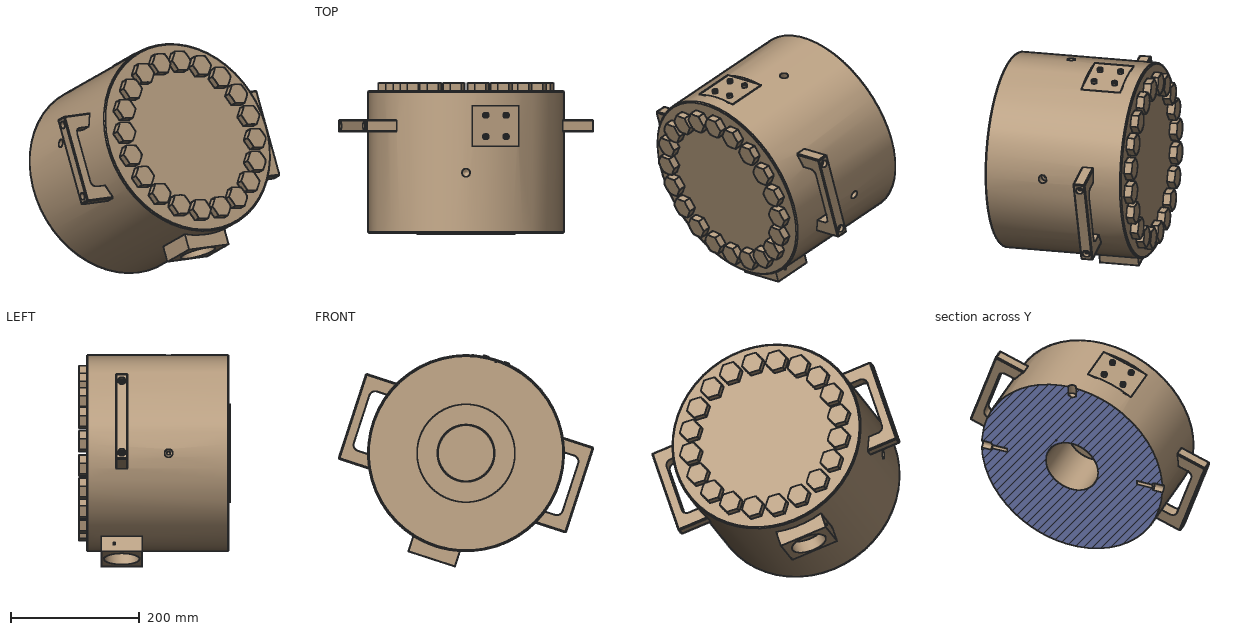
import cadquery as cq
import math

BODY_DIA = 305.0
BODY_LENGTH = 221.0
BODY_CHAMFER = 2.0
BOSS_DIA = 152.0
BOSS_HEIGHT = 2.0
BORE_DIA = 87.0
BORE_DEPTH = 177.8
BORE_CHAMFER = 1.0

BOLT_COUNT = 20
BOLT_CIRCLE_DIA = 241.8
BOLT_FLATS = 30.0
BOLT_HEIGHT = 12.2
BOLT_CHAMFER_ANGLE = 15.0
BOLT_TURN = 12.0

PORT_Y = 93.5
PORT_DIA = 12.5
PORT_DEPTH = 15.8
PORT_TIP_ANGLE = 118.0
PASSAGE_DIA = 5.5
PASSAGE_DEPTH = 27.5

TILT = 18.0
MOUNT_Y = 166.5
ROOT_DEPTH = 19.8

HANDLE_REACH = 185.5
HANDLE_LENGTH = 139.0
HANDLE_WIDTH = 19.0
HANDLE_GRIP = 15.5
HANDLE_WINDOW = 96.5
HANDLE_WINDOW_RADIUS = 9.5
HANDLE_CHAMFER = 1.5
HANDLE_SCREW_SPACING = 117.0
HANDLE_COUNTERBORE_DIA = 11.0
HANDLE_HEAD_DEPTH = 6.0

BOX_LENGTH = 76.2
BOX_WIDTH = 63.2
BOX_REACH = 172.5
BOX_BORE_DIA = 55.5
BOX_BORE_DEPTH = 19.8
BOX_PIN_DIA = 3.0
BOX_PIN_DEPTH = 4.7
BOX_PIN_OFFSET = 12.0
BOX_PIN_REACH = 159.5

PAD_REACH = 148.5
PAD_THICKNESS = 12.0
PAD_SCREW_SPACING = 33.0

SCREW_HEAD_DIA = 8.3
SCREW_HEAD_HEIGHT = 4.7
SCREW_HEAD_CHAMFER = 0.8
SCREW_SOCKET_FLATS = 4.0
SCREW_SOCKET_DEPTH = 2.8

body_radius = BODY_DIA / 2
handle_base = body_radius * math.cos(math.asin(HANDLE_LENGTH / BODY_DIA)) - ROOT_DEPTH
box_base = body_radius - ROOT_DEPTH


def cylinder(diameter, length, start, direction):
    """Cylinder that runs from start along direction."""
    return cq.Workplane(cq.Solid.makeCylinder(diameter / 2, length, cq.Vector(*start), cq.Vector(*direction)))


def make_body():
    """Chamfered cylinder with a low front boss and a blind bore."""
    body = cylinder(BODY_DIA, BODY_LENGTH, (0, 0, 0), (0, 1, 0)).edges().chamfer(BODY_CHAMFER)
    body = body.union(cylinder(BOSS_DIA, BOSS_HEIGHT, (0, -BOSS_HEIGHT, 0), (0, 1, 0)))
    bore = cylinder(BORE_DIA, BORE_DEPTH + BOSS_HEIGHT, (0, -BOSS_HEIGHT, 0), (0, 1, 0))
    mouth = cq.Solid.makeCone(
        BORE_DIA / 2 + BORE_CHAMFER, BORE_DIA / 2, BORE_CHAMFER,
        cq.Vector(0, -BOSS_HEIGHT, 0), cq.Vector(0, 1, 0),
    )
    return body.cut(bore).cut(cq.Workplane(mouth))


def hexagon_corners(flats):
    """Corner diameter of a hexagon from its size across flats."""
    return flats / math.cos(math.radians(30))


def hex_head():
    """Bolt head on the XY plane, with its top corners turned off by a cone."""
    head = cq.Workplane("XY").polygon(6, hexagon_corners(BOLT_FLATS)).extrude(BOLT_HEIGHT)
    slope = math.tan(math.radians(BOLT_CHAMFER_ANGLE))
    top_radius = BOLT_FLATS / 2
    base_radius = top_radius + BOLT_HEIGHT / slope
    return head.intersect(cq.Workplane(cq.Solid.makeCone(base_radius, top_radius, BOLT_HEIGHT)))


def add_bolts(body):
    """Ring of bolt heads, all turned the same way."""
    head = hex_head().rotate((0, 0, 0), (0, 0, 1), BOLT_TURN).rotate((0, 0, 0), (1, 0, 0), -90)
    pitch = 360 / BOLT_COUNT
    for i in range(BOLT_COUNT):
        angle = math.radians((i + 0.5) * pitch)
        x = BOLT_CIRCLE_DIA / 2 * math.sin(angle)
        z = BOLT_CIRCLE_DIA / 2 * math.cos(angle)
        body = body.union(head.translate((x, BODY_LENGTH, z)))
    return body


def cut_ports(body):
    """Drilled ports at the sides and the top; the side ones narrow into a passage."""
    tip_length = PORT_DIA / 2 / math.tan(math.radians(PORT_TIP_ANGLE / 2))
    for direction in ((1, 0, 0), (-1, 0, 0), (0, 0, 1)):
        outward = cq.Vector(*direction)
        floor = outward * (body_radius - PORT_DEPTH) + cq.Vector(0, PORT_Y, 0)
        tip = cq.Solid.makeCone(PORT_DIA / 2, 0, tip_length, floor, outward * -1)
        body = body.cut(cylinder(PORT_DIA, PORT_DEPTH, floor.toTuple(), direction)).cut(cq.Workplane(tip))
        if outward.z == 0:
            passage = cq.Solid.makeCylinder(PASSAGE_DIA / 2, PASSAGE_DEPTH, floor, outward * -1)
            body = body.cut(cq.Workplane(passage))
    return body


def socket_screw():
    """Socket screw head standing on the XY plane."""
    head = cq.Workplane("XY").circle(SCREW_HEAD_DIA / 2).extrude(SCREW_HEAD_HEIGHT)
    head = head.faces(">Z").chamfer(SCREW_HEAD_CHAMFER)
    socket = head.faces(">Z").workplane().polygon(6, hexagon_corners(SCREW_SOCKET_FLATS))
    return socket.cutBlind(-SCREW_SOCKET_DEPTH)


def make_handle():
    """Handle on the +X side, before the tilt."""
    depth = HANDLE_REACH - handle_base
    handle = cq.Workplane("XY").box(depth, HANDLE_WIDTH, HANDLE_LENGTH)
    handle = handle.translate(((HANDLE_REACH + handle_base) / 2, 0, 0))
    handle = handle.faces(">X").edges().chamfer(HANDLE_CHAMFER)
    handle = handle.edges("|X").chamfer(HANDLE_CHAMFER)
    window = cq.Workplane("XY").box(depth, HANDLE_WIDTH, HANDLE_WINDOW)
    window = window.edges("|Y").fillet(HANDLE_WINDOW_RADIUS)
    return handle.cut(window.translate((HANDLE_REACH - HANDLE_GRIP - depth / 2, 0, 0)))


def add_handles(body):
    """Two opposite handles, each with two sunk screws."""
    core = cylinder(BODY_DIA - 2 * ROOT_DEPTH, BODY_LENGTH, (0, 0, 0), (0, 1, 0))
    handle = make_handle().translate((0, MOUNT_Y, 0)).cut(core)
    screw = socket_screw().rotate((0, 0, 0), (0, 1, 0), 90)
    counterbore_depth = HANDLE_HEAD_DEPTH + SCREW_HEAD_HEIGHT
    head_base = HANDLE_REACH - counterbore_depth
    for z in (-HANDLE_SCREW_SPACING / 2, HANDLE_SCREW_SPACING / 2):
        counterbore = cylinder(HANDLE_COUNTERBORE_DIA, counterbore_depth, (head_base, MOUNT_Y, z), (1, 0, 0))
        handle = handle.cut(counterbore)
        handle = handle.union(screw.translate((head_base, MOUNT_Y, z)))
    for turn in (TILT, TILT + 180):
        body = body.union(handle.rotate((0, 0, 0), (0, 1, 0), turn))
    return body


def tilted(shape):
    """Shape moved to the mounting place and turned about the body axis."""
    return shape.translate((0, MOUNT_Y, 0)).rotate((0, 0, 0), (0, 1, 0), TILT)


def add_box(body):
    """Connector box under the body."""
    height = BOX_REACH - box_base
    box = cq.Workplane("XY").box(BOX_LENGTH, BOX_WIDTH, height).translate((0, 0, -(BOX_REACH + box_base) / 2))
    bore = cylinder(BOX_BORE_DIA, BOX_BORE_DEPTH, (0, 0, -BOX_REACH), (0, 0, 1))
    pin = cylinder(BOX_PIN_DIA, BOX_PIN_DEPTH, (-BOX_LENGTH / 2, BOX_PIN_OFFSET, -BOX_PIN_REACH), (1, 0, 0))
    return body.union(tilted(box)).cut(tilted(bore)).cut(tilted(pin))


def add_pad(body):
    """Flat sensor pad sunk into the top of the body."""
    pad = cq.Workplane("XY").box(BOX_LENGTH, BOX_WIDTH, PAD_THICKNESS)
    body = body.cut(tilted(pad.translate((0, 0, PAD_REACH + PAD_THICKNESS / 2))))
    body = body.union(tilted(pad.translate((0, 0, PAD_REACH - PAD_THICKNESS / 2))))
    for x in (-PAD_SCREW_SPACING / 2, PAD_SCREW_SPACING / 2):
        for y in (-PAD_SCREW_SPACING / 2, PAD_SCREW_SPACING / 2):
            body = body.union(tilted(socket_screw().translate((x, y, PAD_REACH))))
    return body


result = make_body()
result = add_bolts(result)
result = add_handles(result)
result = add_box(result)
result = add_pad(result)
result = cut_ports(result)